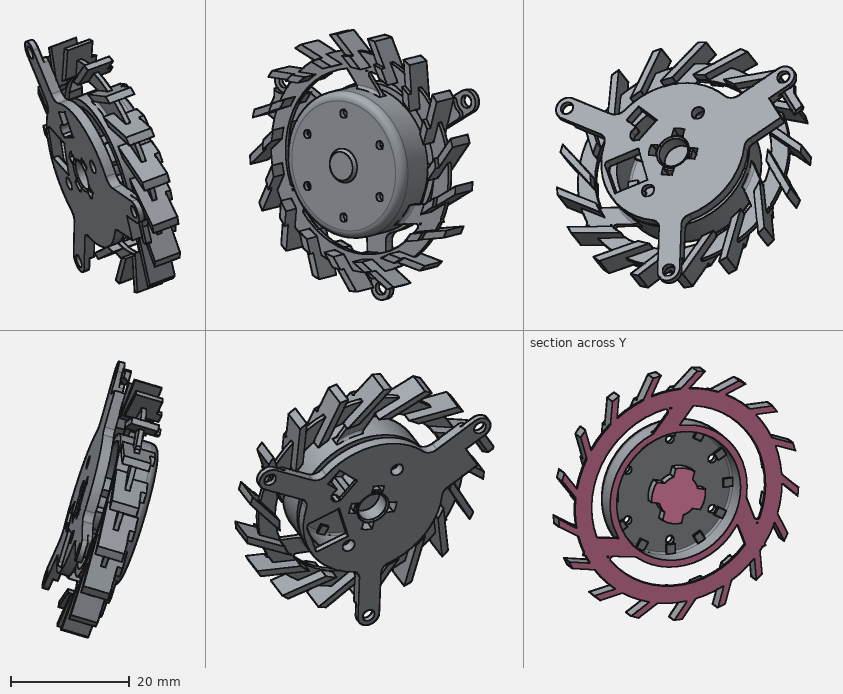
import cadquery as cq
import math


JOINT_OVERLAP = 0.45

PLATE_THICKNESS = 1.85
LUG_THICKNESS = 1.0
PLATE_RADIUS = 12.9
ARM_ANGLES = (28, 148, 268)
ARM_REACH = 22.45
ARM_HALF_WIDTH = 2.0
SCREW_HOLE_RADIUS = 1.085
SCREW_SEAT_RADIUS = 1.965
SEAT_CORNER_RADIUS = 0.85
WIDE_ROOT_FILLET = 2.15
NARROW_ROOT_FILLET = 1.8
PAD_END = 18.5
PAD_SIDE = -6.55
HOOKED_LIP = 0.55
HOOKED_RELIEF = 1.85
HOOKED_LIP_ENDS = [(-2.9, 6.6), (-6.1, 3.4)]
SQUARE_WINDOW = [(-6.25, 1.8), (-4.6, -4.55), (-10.45, -6.0), (-12.4, 0.25)]
WINDOW_CORNER_RADIUS = 0.65
SQUARE_LIP = 1.0
SQUARE_RELIEF = 1.2
PIN_HOLE_RADIUS = 1.1
PIN_HOLE_REACH = 7.95
PIN_HOLE_ANGLE = 55.7

TAB_FRONT = 0.9
TAB_INNER = 21.2
TAB_SLOPE = 0.65
TAB_OUTER = 22.5
TAB_END = -6.47
TAB_CORNER = 0.3
TAB_FLARE = 23.2
TAB_FLARE_START = -3.15
TAB_FLARE_END = -1.8
TAB_ROOT = -1.4

TOWER_END = 6.95
TOWER_RADIUS = 3.65
CROSS_RADIUS = 4.95
CROSS_WIDTH = 3.65
BORE_RADIUS = 2.6
BORE_DEPTH = 3.05
BORE_MOUTH_RADIUS = 2.9
BORE_MOUTH_DEPTH = 0.3
LATCH_ANGLE = 74.7
LATCH_COUNT = 4
LATCH_WIDTH = 2.0
LATCH_STEP_RADIUS = 3.3
LATCH_STEP_DEPTH = 0.45
LATCH_MOUTH_RADIUS = 4.4
LATCH_FLOOR_RADIUS = 4.1
LATCH_DEPTH = 3.7

HUB_FRONT = 3.2
HUB_RADIUS = 12.6
CAP_BACK = 10.15
CAP_FILLET = 1.5
CAP_THICKNESS = 1.0
CAVITY_RADIUS = 11.3
CAVITY_FILLET = 0.35
BOSS_BACK = 10.8
BOSS_BASE_RADIUS = 2.9
BOSS_TOP_RADIUS = 2.45
CAP_HOLE_RADIUS = 0.715
CAP_HOLE_REACH = 8.92
CAP_HOLE_COUNT = 6
CAP_HOLE_ANGLE = 30
RIB_COUNT = 12
RIB_WIDTH = 1.5
RIB_INNER = 9.6
RIB_OUTER = 11.55
RIB_HEIGHT = 0.45

RING_FRONT = 4.9
RING_BACK = 5.75
RING_INNER = 15.85
RING_OUTER = 18.95
SPOKE_COUNT = 3
SPOKE_ANGLE = 51
SPOKE_WIDTH = 3.25
SPOKE_OFFSET = 9.35
SPOKE_FILLET = 0.45
SPOKE_COLLAR_RADIUS = 13.15
SPOKE_COLLAR_HEIGHT = 0.5
COLLAR_ARC_RADIUS = 0.6
BLADE_COUNT = 17
BLADE_LOW = 12.6
BLADE_HIGH = 13.8
BLADE_FRONT = 2.95
BLADE_BACK = 7.68
BLADE_ROOT_RADIUS = 15.95
BLADE_BACK_ROOT_RADIUS = 16.7
BLADE_TIP_RADIUS = 22.0
BLADE_STEP_RADIUS = 18.5
BLADE_STEP_BACK = 8.6


def sketch_at(y):
    """Workplane whose sketch axes are X and Z, at depth y; extrude(-h) goes toward the back."""
    return cq.Workplane("XZ", origin=(0, y, 0))


def prism(sketch, length):
    """Extrude a sketch toward +Y."""
    return sketch.extrude(-length)


def disc(radius, front, back):
    return prism(sketch_at(front).circle(radius), back - front)


def tube(inner, outer, front, back):
    return prism(sketch_at(front).circle(outer).circle(inner), back - front)


def bar(x_range, z_range, front, back):
    """Rectangular block given by its X and Z limits and its front and back depths."""
    corners = [(x_range[0], z_range[0]), (x_range[1], z_range[1])]
    sketch = sketch_at(front).moveTo(*corners[0]).lineTo(corners[1][0], corners[0][1])
    sketch = sketch.lineTo(*corners[1]).lineTo(corners[0][0], corners[1][1]).close()
    return prism(sketch, back - front)


def turned(profile):
    """Solid of revolution about the Y axis from (radius, y) points."""
    return cq.Workplane("XY").polyline(profile).close().revolve(360, (0, 0, 0), (0, 1, 0))


def spin(body, angle):
    """Turn a body about the axis, counter-clockwise when X points right and Z up."""
    return body.rotate((0, 0, 0), (0, 1, 0), -angle)


def polar(radius, angle):
    return radius * math.cos(math.radians(angle)), radius * math.sin(math.radians(angle))



def arm():
    """Arm along +X: full thickness up to the curved screw seat, then a thin round lug."""
    lug = bar((0, ARM_REACH), (-ARM_HALF_WIDTH, ARM_HALF_WIDTH), 0, LUG_THICKNESS)
    lug = lug.union(disc(ARM_HALF_WIDTH, 0, LUG_THICKNESS).translate((ARM_REACH, 0, 0)))

    centre_side = ARM_HALF_WIDTH - SEAT_CORNER_RADIUS
    centre_gap = SEAT_CORNER_RADIUS + SCREW_SEAT_RADIUS
    corner_x = ARM_REACH - math.sqrt(centre_gap ** 2 - centre_side ** 2)
    share = SCREW_SEAT_RADIUS / centre_gap
    touch = (ARM_REACH - (ARM_REACH - corner_x) * share, centre_side * share)
    back = (
        sketch_at(0)
        .moveTo(0, -ARM_HALF_WIDTH)
        .lineTo(corner_x, -ARM_HALF_WIDTH)
        .radiusArc((touch[0], -touch[1]), -SEAT_CORNER_RADIUS)
        .threePointArc((ARM_REACH - SCREW_SEAT_RADIUS, 0), touch)
        .radiusArc((corner_x, ARM_HALF_WIDTH), -SEAT_CORNER_RADIUS)
        .lineTo(0, ARM_HALF_WIDTH)
        .close()
    )
    return lug.union(prism(back, PLATE_THICKNESS))


def root_fillet(angle, side, half_width, radius):
    """Concave filler between the plate's rim and the side of an arm."""
    centre_side = half_width + radius
    centre_x = math.sqrt((PLATE_RADIUS + radius) ** 2 - centre_side ** 2)
    share = PLATE_RADIUS / (PLATE_RADIUS + radius)
    points = [
        (centre_x * share, centre_side * share * side),
        (centre_x, centre_side * side),
        (centre_x, (half_width - JOINT_OVERLAP) * side),
        (centre_x * share, (half_width - JOINT_OVERLAP) * side),
    ]
    filler = prism(sketch_at(0).polyline(points).close(), PLATE_THICKNESS)
    rolling_circle = disc(radius, 0, PLATE_THICKNESS).translate((centre_x, 0, centre_side * side))
    return spin(filler.cut(rolling_circle), angle)


def cable_tab():
    """Hooked tab beside the first arm, with a sloping inner side."""
    tab = prism(
        sketch_at(TAB_FRONT).polyline([
            (TAB_INNER - TAB_SLOPE, TAB_ROOT),
            (TAB_INNER - TAB_SLOPE, TAB_END),
            (TAB_OUTER - TAB_CORNER, TAB_END),
            (TAB_OUTER, TAB_END + TAB_CORNER),
            (TAB_OUTER, TAB_FLARE_START),
            (TAB_FLARE, TAB_FLARE_END),
            (TAB_FLARE, TAB_ROOT),
        ]).close(),
        PLATE_THICKNESS - TAB_FRONT,
    )
    slope = (
        cq.Workplane("XY", origin=(0, 0, TAB_END))
        .polyline([
            (TAB_INNER - TAB_SLOPE, TAB_FRONT),
            (TAB_INNER, TAB_FRONT),
            (TAB_INNER - TAB_SLOPE, PLATE_THICKNESS),
        ])
        .close()
        .extrude(TAB_ROOT - TAB_END)
    )
    seat = disc(SCREW_SEAT_RADIUS, LUG_THICKNESS, PLATE_THICKNESS).translate((ARM_REACH, 0, 0))
    return spin(tab.cut(slope).cut(seat), ARM_ANGLES[0])


def square_window():
    window = prism(sketch_at(0).polyline(SQUARE_WINDOW).close(), PLATE_THICKNESS)
    return window.edges("|Y").edges("<X").fillet(WINDOW_CORNER_RADIUS)


def square_window_relief():
    """Hollow behind the window, wider toward its right and lower sides."""
    upper_right, lower_right, lower_left, upper_left = SQUARE_WINDOW
    run = (lower_right[0] - upper_right[0], lower_right[1] - upper_right[1])
    scale = SQUARE_RELIEF / math.hypot(*run)
    down = (run[0] * scale, run[1] * scale)
    right = (-down[1], down[0])
    corners = [
        (upper_right[0] + right[0], upper_right[1] + right[1]),
        (lower_right[0] + right[0] + down[0], lower_right[1] + right[1] + down[1]),
        (lower_left[0] + down[0], lower_left[1] + down[1]),
        lower_left,
        upper_right,
    ]
    return prism(sketch_at(SQUARE_LIP).polyline(corners).close(), PLATE_THICKNESS - SQUARE_LIP)


def hooked_window():
    outline = (
        sketch_at(0)
        .moveTo(-6.15, 9.8)
        .lineTo(*HOOKED_LIP_ENDS[0])
        .lineTo(*HOOKED_LIP_ENDS[1])
        .lineTo(-6.9, 3.4)
        .threePointArc((-7.68, 4.4), (-7.45, 5.25))
        .lineTo(-6.65, 5.95)
        .lineTo(-8.32, 7.65)
        .close()
    )
    return prism(outline, PLATE_THICKNESS)


def hooked_window_relief():
    """Hollow behind the inner edge of the hooked window, which leaves a thin lip in front."""
    lip_ends = HOOKED_LIP_ENDS
    shift = HOOKED_RELIEF * math.sqrt(0.5)
    far_ends = [(x + shift, z - shift) for x, z in reversed(lip_ends)]
    outline = sketch_at(HOOKED_LIP).polyline(lip_ends + far_ends).close()
    return prism(outline, PLATE_THICKNESS - HOOKED_LIP)


def bearing_tower():
    """Tube behind the plate with a four-armed block around the latch slots."""
    tower = disc(TOWER_RADIUS, 0, TOWER_END)
    span = (-CROSS_RADIUS, CROSS_RADIUS)
    width = (-CROSS_WIDTH / 2, CROSS_WIDTH / 2)
    cross = bar(span, width, 0, TOWER_END).union(bar(width, span, 0, TOWER_END))
    cross = cross.intersect(disc(CROSS_RADIUS, 0, TOWER_END))
    return tower.union(spin(cross, LATCH_ANGLE))


def latch_slot():
    """Stepped slot with a leaning outer wall, along +X; it runs from the bore's rim outward."""
    shape = turned([
        (BORE_MOUTH_RADIUS, 0),
        (LATCH_MOUTH_RADIUS, 0),
        (LATCH_FLOOR_RADIUS, LATCH_DEPTH),
        (LATCH_STEP_RADIUS, LATCH_DEPTH),
        (LATCH_STEP_RADIUS, LATCH_STEP_DEPTH),
        (BORE_MOUTH_RADIUS, LATCH_STEP_DEPTH),
    ])
    return shape.intersect(
        bar((0, LATCH_MOUTH_RADIUS), (-LATCH_WIDTH / 2, LATCH_WIDTH / 2), 0, LATCH_DEPTH)
    )


def make_mount_plate():
    plate = disc(PLATE_RADIUS, 0, PLATE_THICKNESS)
    for angle in ARM_ANGLES:
        plate = plate.union(spin(arm(), angle))
    pad = bar((0, PAD_END), (PAD_SIDE, 0), 0, PLATE_THICKNESS)
    plate = plate.union(spin(pad, ARM_ANGLES[0])).union(cable_tab())

    right, left, bottom = ARM_ANGLES
    plate = plate.union(root_fillet(right, 1, ARM_HALF_WIDTH, WIDE_ROOT_FILLET))
    plate = plate.union(root_fillet(right, -1, -PAD_SIDE, NARROW_ROOT_FILLET))
    plate = plate.union(root_fillet(left, -1, ARM_HALF_WIDTH, WIDE_ROOT_FILLET))
    plate = plate.union(root_fillet(left, 1, ARM_HALF_WIDTH, NARROW_ROOT_FILLET))
    for side in (-1, 1):
        plate = plate.union(root_fillet(bottom, side, ARM_HALF_WIDTH, NARROW_ROOT_FILLET))

    plate = plate.cut(hooked_window_relief()).cut(square_window_relief()).union(bearing_tower())
    bore = turned([
        (0, 0),
        (BORE_MOUTH_RADIUS, 0),
        (BORE_RADIUS, BORE_MOUTH_DEPTH),
        (BORE_RADIUS, BORE_DEPTH),
        (0, BORE_DEPTH),
    ])
    plate = plate.cut(bore)
    for k in range(LATCH_COUNT):
        plate = plate.cut(spin(latch_slot(), LATCH_ANGLE + k * 360 / LATCH_COUNT))

    plate = plate.cut(square_window()).cut(hooked_window())
    for angle in ARM_ANGLES:
        x, z = polar(ARM_REACH, angle)
        plate = plate.cut(disc(SCREW_HOLE_RADIUS, 0, PLATE_THICKNESS).translate((x, 0, z)))
    for angle in (PIN_HOLE_ANGLE, PIN_HOLE_ANGLE + 180):
        x, z = polar(PIN_HOLE_REACH, angle)
        plate = plate.cut(disc(PIN_HOLE_RADIUS, 0, PLATE_THICKNESS).translate((x, 0, z)))
    return plate



def hub():
    """Cup that opens to the front, with a rounded cap, a boss, cap holes and inner ribs."""
    floor = CAP_BACK - CAP_THICKNESS
    cup = disc(HUB_RADIUS, HUB_FRONT, CAP_BACK).edges(">Y").fillet(CAP_FILLET)
    cup = cup.cut(disc(CAVITY_RADIUS, HUB_FRONT, floor).edges(">Y").fillet(CAVITY_FILLET))
    for k in range(CAP_HOLE_COUNT):
        x, z = polar(CAP_HOLE_REACH, CAP_HOLE_ANGLE + k * 360 / CAP_HOLE_COUNT)
        cup = cup.cut(disc(CAP_HOLE_RADIUS, floor, CAP_BACK).translate((x, 0, z)))
    rib = bar((RIB_INNER, RIB_OUTER), (-RIB_WIDTH / 2, RIB_WIDTH / 2), floor - RIB_HEIGHT, floor)
    for k in range(RIB_COUNT):
        cup = cup.union(spin(rib, k * 360 / RIB_COUNT))
    boss = turned([
        (0, floor),
        (BOSS_BASE_RADIUS, floor),
        (BOSS_BASE_RADIUS, CAP_BACK),
        (BOSS_TOP_RADIUS, BOSS_BACK),
        (0, BOSS_BACK),
    ])
    return cup.union(boss)


def spoke_strip(front, back):
    """Straight strip that runs beside the axis, long enough to end inside the ring."""
    low = SPOKE_OFFSET - SPOKE_WIDTH / 2
    return bar((0, RING_INNER), (low, low + SPOKE_WIDTH), front, back)


def spoke_collar():
    """Flared foot in front of and behind a spoke, which blends it into the hub wall."""
    front = RING_FRONT - SPOKE_COLLAR_HEIGHT
    back = RING_BACK + SPOKE_COLLAR_HEIGHT
    flare = (
        cq.Workplane("XY")
        .moveTo(HUB_RADIUS - JOINT_OVERLAP, front)
        .lineTo(HUB_RADIUS, front)
        .radiusArc((SPOKE_COLLAR_RADIUS, RING_FRONT), COLLAR_ARC_RADIUS)
        .lineTo(SPOKE_COLLAR_RADIUS, RING_BACK)
        .radiusArc((HUB_RADIUS, back), COLLAR_ARC_RADIUS)
        .lineTo(HUB_RADIUS - JOINT_OVERLAP, back)
        .close()
        .revolve(360, (0, 0, 0), (0, 1, 0))
    )
    return spoke_strip(front, back).intersect(flare)


def spoke_fillet():
    """Concave filler in the sharp corner between a spoke's far side and the ring."""
    side = SPOKE_OFFSET + SPOKE_WIDTH / 2
    centre_z = side + SPOKE_FILLET
    centre_x = math.sqrt((RING_INNER - SPOKE_FILLET) ** 2 - centre_z ** 2)
    stretch = (RING_INNER + JOINT_OVERLAP) / (RING_INNER - SPOKE_FILLET)
    points = [
        (centre_x, centre_z),
        (centre_x, side - JOINT_OVERLAP),
        (math.sqrt(RING_INNER ** 2 - side ** 2), side - JOINT_OVERLAP),
        (centre_x * stretch, centre_z * stretch),
    ]
    filler = prism(sketch_at(RING_FRONT).polyline(points).close(), RING_BACK - RING_FRONT)
    return filler.cut(disc(SPOKE_FILLET, RING_FRONT, RING_BACK).translate((centre_x, 0, centre_z)))


def ring_with_spokes():
    """Flat ring on three spokes that end inside the hub wall."""
    ring = tube(RING_INNER, RING_OUTER, RING_FRONT, RING_BACK)
    spoke = spoke_strip(RING_FRONT, RING_BACK).cut(disc(HUB_RADIUS - JOINT_OVERLAP, RING_FRONT, RING_BACK))
    spoke = spoke.union(spoke_fillet()).union(spoke_collar())
    for k in range(SPOKE_COUNT):
        ring = ring.union(spin(spoke, SPOKE_ANGLE + k * 360 / SPOKE_COUNT))
    return ring


def blade():
    """Level blade whose back strip stops short of the tip."""
    faces = (BLADE_LOW, BLADE_HIGH)
    main = bar((0, BLADE_TIP_RADIUS), faces, BLADE_FRONT, BLADE_BACK)
    main = main.intersect(tube(BLADE_ROOT_RADIUS, BLADE_TIP_RADIUS, BLADE_FRONT, BLADE_BACK))
    main = main.cut(disc(BLADE_BACK_ROOT_RADIUS, RING_BACK, BLADE_BACK))
    strip = bar((0, BLADE_TIP_RADIUS), faces, BLADE_BACK, BLADE_STEP_BACK)
    strip = strip.intersect(tube(BLADE_BACK_ROOT_RADIUS, BLADE_STEP_RADIUS, BLADE_BACK, BLADE_STEP_BACK))
    return main.union(strip)


def make_rotor():
    rotor = hub().union(ring_with_spokes())
    for k in range(BLADE_COUNT):
        rotor = rotor.union(spin(blade(), k * 360 / BLADE_COUNT))
    return rotor


mount_plate = make_mount_plate()
rotor = make_rotor()
result = cq.Compound.makeCompound([mount_plate.val(), rotor.val()])